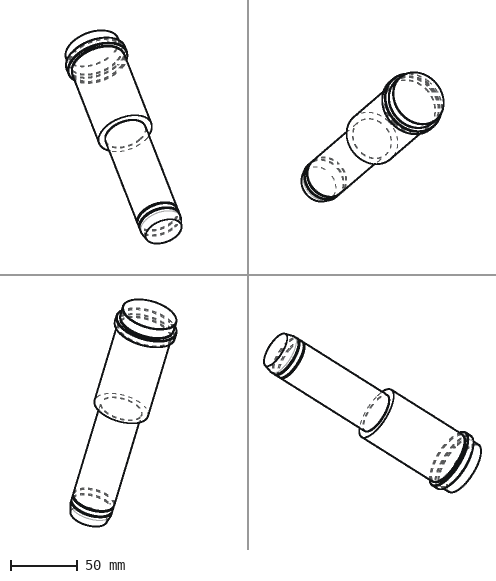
import cadquery as cq

total_length = 180.0
shoulder_x = 83.7
collar_start = 9.0
collar_width = 6.0
nose_length = 7.0

body_diameter = 42.0
collar_diameter = 47.0
shaft_diameter = 32.0
nose_tip_diameter = 28.3

end_chamfer = 0.4
collar_chamfer = 0.5
relief_width = 1.0
relief_depth = 0.4
shoulder_relief_width = 0.5
shoulder_relief_depth = 0.2
ring_width = 1.0
ring_depth = 0.2
ring_starts = (164.7, 169.5)


def cylinder(start, length, diameter):
    """Solid cylinder on the X axis, from start to start + length."""
    return cq.Workplane("YZ", origin=(start, 0, 0)).circle(diameter / 2).extrude(length)


def groove(start, width, diameter, depth):
    """Ring of material to cut from a cylinder of the given diameter."""
    outer = cylinder(start, width, diameter)
    return outer.cut(cylinder(start, width, diameter - 2 * depth))


body = cylinder(0, shoulder_x, body_diameter).faces("<X").chamfer(end_chamfer)

collar = cylinder(collar_start, collar_width, collar_diameter).edges().chamfer(collar_chamfer)

nose_start = total_length - nose_length
shaft = cylinder(shoulder_x, nose_start - shoulder_x, shaft_diameter)
nose = (
    cq.Workplane("YZ", origin=(nose_start, 0, 0))
    .circle(shaft_diameter / 2)
    .workplane(offset=nose_length)
    .circle(nose_tip_diameter / 2)
    .loft(ruled=True)
)

result = body.union(collar).union(shaft).union(nose)

for relief_start in (collar_start - relief_width, collar_start + collar_width):
    result = result.cut(groove(relief_start, relief_width, body_diameter, relief_depth))
result = result.cut(groove(shoulder_x, shoulder_relief_width, shaft_diameter, shoulder_relief_depth))

for ring_start in ring_starts:
    result = result.cut(groove(ring_start, ring_width, shaft_diameter, ring_depth))